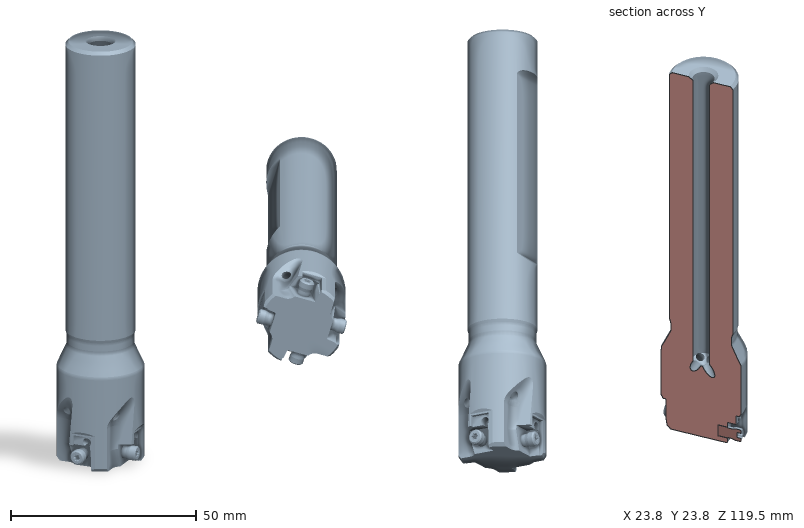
import cadquery as cq
import math


TOOTH_COUNT = 4
OVERALL_LENGTH = 119.45
OUTSIDE = 150.0

HEAD_RADIUS = 23.8 / 2
SHANK_RADIUS = 19.05 / 2
NECK_RADIUS = 9.15
SHANK_CHAMFER = 0.85
NOSE_CHAMFER_HEIGHT = 1.0
NOSE_CHAMFER_WIDTH = 0.7
HEAD_TOP = 26.4
CONE_ANGLE = 24.5
CONE_BOTTOM = 27.2
CONE_TOP = 32.6
CONE_BOTTOM_RADIUS = 11.75
NECK_BOTTOM = 33.7
NECK_TOP = 35.4
UNDERCUT_TOP = 36.1
UNDERCUT_RADIUS = 9.25
SHANK_BOTTOM = 36.9

FLAT_Y = 7.75
FLAT_BOTTOM = 54.3
FLAT_TOP = 108.4
FLAT_DEPTH = SHANK_RADIUS - FLAT_Y

BORE_RADIUS = 3.0
BORE_BOTTOM = 24.5
DRILL_POINT_ANGLE = 118.0
COUNTERSINK_RADIUS = 4.0
COOLANT_RADIUS = 1.2
COOLANT_START_RADIUS = 1.6
COOLANT_EXIT_RADIUS = 9.2
COOLANT_EXIT_Z = 15.7
COOLANT_OVERRUN = 2.0
COOLANT_AZIMUTH = 229.0

FLUTE_FLOOR_Y = -6.4
RAMP_START_Z = 13.7
RAMP_ANGLE = 55.7
RAMP_BLEND = 4.6
WALL_BLEND = 2.6
WALL_SLOPE = 21.0
WALL_ROOT_X = -6.25
WALL_ROOT_Z = 5.5
UPPER_WALL_LEAN = 5.0
LOWER_WALL_LEAN = -16.0
LOWER_FLUTE_TOP = 8.0

RELIEF_HALF_WIDTH = 3.5
RELIEF_Y = -math.sqrt(HEAD_RADIUS**2 - RELIEF_HALF_WIDTH**2)
RELIEF_TOP = 10.2
RELIEF_RUNOUT = 0.8
SEAT_Y = -7.7
SEAT_TOP = 6.8
SEAT_LEFT_X = -7.0
SEAT_TOP_RIGHT_X = 0.16
SEAT_BOTTOM_RIGHT_X = 1.6
SEAT_OUTER_RIGHT_X = 2.3
STEP_Y = -10.3
STEP_TOP = 9.7
STEP_LEFT_X = -3.2
CORNER_RELIEF_RADIUS = 1.2
CORNER_RELIEF_X = 0.6
CORNER_RELIEF_Z = 7.8

SCREW_X = -1.8
SCREW_Z = 3.5
SCREW_TIP_Y = -5.0
THREAD_RADIUS = 1.7
HEAD_CONE_START_Y = -9.0
HEAD_CONE_END_Y = -10.0
SCREW_HEAD_RADIUS = 2.0
HEAD_EDGE_Y = -11.4
SCREW_TOP_Y = -11.75
SCREW_TOP_RADIUS = 1.65
SOCKET_CORE_RADIUS = 0.75
SOCKET_LOBE_RADIUS = 0.25
SOCKET_LOBES = 6
SOCKET_DEPTH = 1.2


def turned_blank():
    cone_top_radius = CONE_BOTTOM_RADIUS - (CONE_TOP - CONE_BOTTOM) * math.tan(math.radians(CONE_ANGLE))
    return (
        cq.Workplane("XZ")
        .moveTo(0, 0)
        .lineTo(HEAD_RADIUS - NOSE_CHAMFER_WIDTH, 0)
        .lineTo(HEAD_RADIUS, NOSE_CHAMFER_HEIGHT)
        .lineTo(HEAD_RADIUS, HEAD_TOP)
        .tangentArcPoint((CONE_BOTTOM_RADIUS, CONE_BOTTOM), relative=False)
        .lineTo(cone_top_radius, CONE_TOP)
        .tangentArcPoint((NECK_RADIUS, NECK_BOTTOM), relative=False)
        .lineTo(NECK_RADIUS, NECK_TOP)
        .tangentArcPoint((UNDERCUT_RADIUS, UNDERCUT_TOP), relative=False)
        .lineTo(SHANK_RADIUS, SHANK_BOTTOM)
        .lineTo(SHANK_RADIUS, OVERALL_LENGTH - SHANK_CHAMFER)
        .lineTo(SHANK_RADIUS - SHANK_CHAMFER, OVERALL_LENGTH)
        .lineTo(0, OVERALL_LENGTH)
        .close()
        .revolve(360, (0, 0, 0), (0, 1, 0))
    )


def clamping_flat():
    """Flat with a 45 degree lower end and a rounded upper end."""
    return (
        cq.Workplane("YZ")
        .moveTo(FLAT_Y, FLAT_BOTTOM + FLAT_DEPTH)
        .lineTo(SHANK_RADIUS, FLAT_BOTTOM)
        .lineTo(SHANK_RADIUS + FLAT_DEPTH, FLAT_BOTTOM)
        .lineTo(SHANK_RADIUS + FLAT_DEPTH, FLAT_TOP)
        .lineTo(SHANK_RADIUS, FLAT_TOP)
        .radiusArc((FLAT_Y, FLAT_TOP - FLAT_DEPTH), -FLAT_DEPTH)
        .close()
        .extrude(SHANK_RADIUS, both=True)
    )


def coolant_bore():
    countersink_depth = COUNTERSINK_RADIUS - BORE_RADIUS
    point_depth = BORE_RADIUS / math.tan(math.radians(DRILL_POINT_ANGLE / 2))
    return (
        cq.Workplane("XZ")
        .moveTo(0, BORE_BOTTOM - point_depth)
        .lineTo(BORE_RADIUS, BORE_BOTTOM)
        .lineTo(BORE_RADIUS, OVERALL_LENGTH - countersink_depth)
        .lineTo(COUNTERSINK_RADIUS, OVERALL_LENGTH)
        .lineTo(0, OVERALL_LENGTH)
        .close()
        .revolve(360, (0, 0, 0), (0, 1, 0))
    )


def coolant_branch():
    """Sloping hole from the lower end of the bore into the flute."""
    azimuth = math.radians(COOLANT_AZIMUTH)
    outward = cq.Vector(math.cos(azimuth), math.sin(azimuth), 0)
    start = outward * COOLANT_START_RADIUS + cq.Vector(0, 0, BORE_BOTTOM)
    end = outward * COOLANT_EXIT_RADIUS + cq.Vector(0, 0, COOLANT_EXIT_Z)
    path = end - start
    length = path.Length + COOLANT_OVERRUN
    return cq.Workplane(cq.Solid.makeCylinder(COOLANT_RADIUS, length, start, path))


def flute_wall_block(lean):
    """Space on the open side of the flute wall; a positive lean tips the wall towards +X going up."""
    return (
        cq.Workplane("XY")
        .box(OUTSIDE, OUTSIDE, OUTSIDE)
        .translate((-OUTSIDE / 2, 0, 0))
        .rotate((0, 0, 0), (0, 0, 1), WALL_SLOPE)
        .rotate((0, 0, 0), (0, 1, 0), lean)
        .translate((WALL_ROOT_X, FLUTE_FLOOR_Y, WALL_ROOT_Z))
    )


def upper_flute():
    """Long flute whose floor climbs out of the head along a ramp."""
    reach = 3 * HEAD_RADIUS
    ramp_rise = (reach + FLUTE_FLOOR_Y) * math.tan(math.radians(RAMP_ANGLE))
    floor_and_ramp = (
        cq.Workplane("YZ")
        .moveTo(FLUTE_FLOOR_Y, -reach)
        .lineTo(FLUTE_FLOOR_Y, RAMP_START_Z)
        .lineTo(-reach, RAMP_START_Z + ramp_rise)
        .lineTo(-reach, -reach)
        .close()
        .extrude(reach, both=True)
    )
    ramp_corner = cq.selectors.NearestToPointSelector((0, FLUTE_FLOOR_Y, RAMP_START_Z))
    flute = floor_and_ramp.edges(ramp_corner).fillet(RAMP_BLEND).intersect(flute_wall_block(UPPER_WALL_LEAN))
    floor_edge = cq.selectors.NearestToPointSelector((WALL_ROOT_X, FLUTE_FLOOR_Y, -reach / 4))
    return flute.edges(floor_edge).fillet(WALL_BLEND)


def lower_flute():
    """Widening of the flute in front of the seat, where the wall leans the other way."""
    floor = cq.Workplane("XY").box(OUTSIDE, OUTSIDE, 2 * LOWER_FLUTE_TOP)
    flute = floor.translate((0, FLUTE_FLOOR_Y - OUTSIDE / 2, 0)).intersect(flute_wall_block(LOWER_WALL_LEAN))
    floor_edge = cq.selectors.NearestToPointSelector((WALL_ROOT_X, FLUTE_FLOOR_Y, 0))
    return flute.edges(floor_edge).fillet(WALL_BLEND)


def seat_relief():
    """Shallow flat around the seat, with a sloping upper end."""
    depth = HEAD_RADIUS + RELIEF_Y
    return (
        cq.Workplane("YZ")
        .moveTo(RELIEF_Y, 0)
        .lineTo(RELIEF_Y, RELIEF_TOP)
        .lineTo(RELIEF_Y - depth, RELIEF_TOP + RELIEF_RUNOUT)
        .lineTo(RELIEF_Y - depth, 0)
        .close()
        .extrude(RELIEF_HALF_WIDTH, both=True)
    )


def seat_section(y, top_right_x, bottom_right_x):
    return cq.Wire.makePolygon(
        [
            cq.Vector(SEAT_LEFT_X, y, SEAT_TOP),
            cq.Vector(top_right_x, y, SEAT_TOP),
            cq.Vector(bottom_right_x, y, 0),
            cq.Vector(SEAT_LEFT_X, y, 0),
        ],
        close=True,
    )


def insert_seat():
    """Flat seat with a slanting side wall, a drilled corner relief and a shallow step above it."""
    floor = seat_section(SEAT_Y, SEAT_TOP_RIGHT_X, SEAT_BOTTOM_RIGHT_X)
    mouth = seat_section(-HEAD_RADIUS, SEAT_OUTER_RIGHT_X, SEAT_OUTER_RIGHT_X)
    pocket = cq.Workplane(cq.Solid.makeLoft([floor, mouth], True))
    corner_relief = (
        cq.Workplane("XZ", origin=(CORNER_RELIEF_X, SEAT_Y, CORNER_RELIEF_Z))
        .circle(CORNER_RELIEF_RADIUS)
        .extrude(HEAD_RADIUS + SEAT_Y)
    )
    step_width = SEAT_OUTER_RIGHT_X - STEP_LEFT_X
    step_depth = HEAD_RADIUS + STEP_Y
    step = (
        cq.Workplane("XY")
        .box(step_width, step_depth, STEP_TOP, centered=False)
        .translate((STEP_LEFT_X, -HEAD_RADIUS, 0))
    )
    return pocket.union(corner_relief).union(step)


def screw_blank():
    """Screw without its socket, which is also the shape of its hole."""
    return (
        cq.Workplane("XY")
        .moveTo(0, SCREW_TIP_Y)
        .lineTo(THREAD_RADIUS, SCREW_TIP_Y)
        .lineTo(THREAD_RADIUS, HEAD_CONE_START_Y)
        .lineTo(SCREW_HEAD_RADIUS, HEAD_CONE_END_Y)
        .lineTo(SCREW_HEAD_RADIUS, HEAD_EDGE_Y)
        .lineTo(SCREW_TOP_RADIUS, SCREW_TOP_Y)
        .lineTo(0, SCREW_TOP_Y)
        .close()
        .revolve(360, (0, 0, 0), (0, 1, 0))
        .translate((SCREW_X, 0, SCREW_Z))
    )


def insert_screw():
    """Insert screw with a six-lobed socket."""
    socket_bottom = cq.Workplane("XZ", origin=(SCREW_X, SCREW_TOP_Y + SOCKET_DEPTH, SCREW_Z))
    core = socket_bottom.circle(SOCKET_CORE_RADIUS).extrude(SOCKET_DEPTH)
    lobes = (
        socket_bottom.polarArray(SOCKET_CORE_RADIUS, 0, 360, SOCKET_LOBES)
        .circle(SOCKET_LOBE_RADIUS)
        .extrude(SOCKET_DEPTH)
    )
    return screw_blank().cut(core).cut(lobes)


def turned_to_tooth(shape, index):
    return shape.rotate((0, 0, 0), (0, 0, 1), index * 360 / TOOTH_COUNT)


tooth_cuts = [
    upper_flute(),
    lower_flute(),
    seat_relief(),
    insert_seat(),
    coolant_branch(),
    screw_blank(),
]

cutter_body = turned_blank().cut(clamping_flat()).cut(coolant_bore())
for tooth in range(TOOTH_COUNT):
    for tooth_cut in tooth_cuts:
        cutter_body = cutter_body.cut(turned_to_tooth(tooth_cut, tooth))

screw = insert_screw()
screws = [turned_to_tooth(screw, tooth) for tooth in range(TOOTH_COUNT)]

result = cq.Compound.makeCompound([cutter_body.val(), *[placed.val() for placed in screws]])